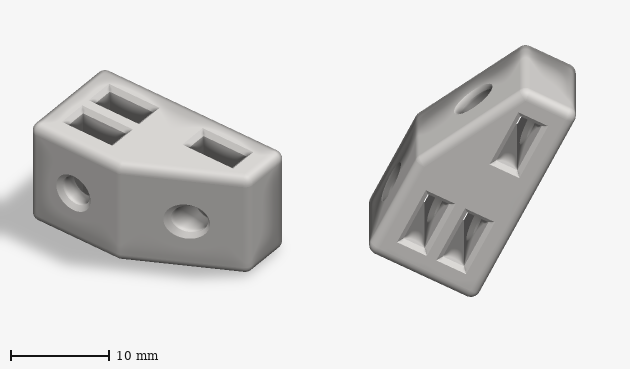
import cadquery as cq

length = 23.48
depth = 12.5
height = 12.5
front_length = 11.48
right_side_start = 6.27
edge_radius = 1.0

column_spacing = 12.02
left_column = (length - column_spacing) / 2
right_column = left_column + column_spacing
slot_length = 5.52
slot_width = 2.42
rear_row = 8.5
row_spacing = 4.48
front_row = rear_row - row_spacing
hole_diameter = 3.4
mouth_chamfer = 0.5

slot_centers = [(left_column, rear_row), (left_column, front_row), (right_column, rear_row)]
hole_centers = [(left_column, height / 2), (right_column, height / 2)]


def make_body():
    outline = [
        (0, 0),
        (front_length, 0),
        (length, right_side_start),
        (length, depth),
        (0, depth),
    ]
    block = cq.Workplane("XY").polyline(outline).close().extrude(height)
    return block.edges().fillet(edge_radius)


def cut_slots(body):
    """Cut the rectangular slots vertically through the body."""
    slots = (
        cq.Workplane("XY")
        .pushPoints(slot_centers)
        .rect(slot_length, slot_width)
        .extrude(height)
    )
    return body.cut(slots)


def cut_holes(body):
    """Cut the round holes along Y, through the slots in their column."""
    holes = (
        cq.Workplane("XZ")
        .pushPoints(hole_centers)
        .circle(hole_diameter / 2)
        .extrude(-depth)
    )
    return body.cut(holes)


def bevel_mouths(body):
    """Bevel every slot and hole mouth, including where the holes break into the slots."""
    flat_faces = body.faces("%PLANE").vals()
    mouth_edges = [
        edge
        for face in flat_faces
        for mouth in face.innerWires()
        for edge in mouth.Edges()
    ]
    return body.newObject(mouth_edges).chamfer(mouth_chamfer)


body = make_body()
body = cut_slots(body)
body = cut_holes(body)
result = bevel_mouths(body)